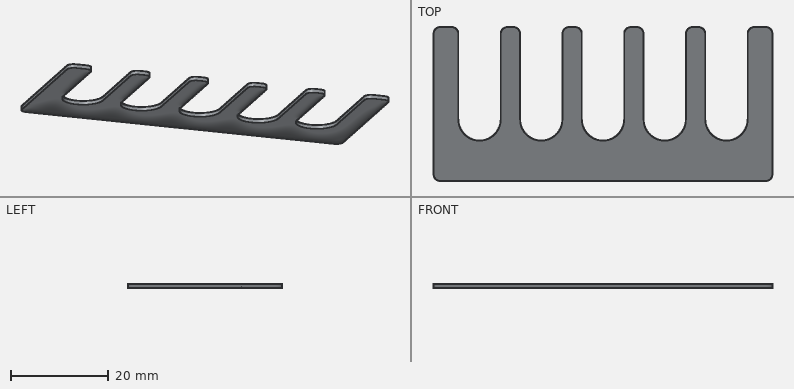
import cadquery as cq

length = 69.85
depth = 31.8
thickness = 0.85
corner_radius = 1.5

slot_count = 5
slot_pitch = 12.7
slot_width = 8.65
slot_depth = 23.4
finger_tip_radius = 1.5

back_y = depth / 2
slot_radius = slot_width / 2
slot_center_y = back_y - slot_depth + slot_radius
slot_centers = [(i - (slot_count - 1) / 2) * slot_pitch for i in range(slot_count)]


def make_plate():
    plate = cq.Workplane("XY").box(length, depth, thickness)
    return plate.edges("|Z").fillet(corner_radius)


def slot_cutter(center_x):
    """Slot with a round bottom and a mouth that flares to round the finger tips."""
    left = center_x - slot_radius
    right = center_x + slot_radius
    flare_y = back_y - finger_tip_radius
    outline = (
        cq.Workplane("XY", origin=(0, 0, -thickness / 2))
        .moveTo(left - finger_tip_radius, back_y)
        .radiusArc((left, flare_y), finger_tip_radius)
        .lineTo(left, slot_center_y)
        .threePointArc((center_x, back_y - slot_depth), (right, slot_center_y))
        .lineTo(right, flare_y)
        .radiusArc((right + finger_tip_radius, back_y), finger_tip_radius)
        .close()
    )
    return outline.extrude(thickness)


result = make_plate()
for slot_x in slot_centers:
    result = result.cut(slot_cutter(slot_x))